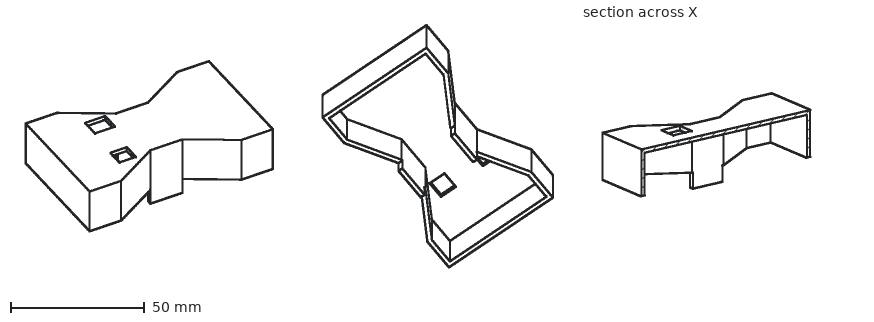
import cadquery as cq

length_x = 48.6
length_y = 78.6
total_height = 25.0

wall = 1.8
body_height = 18.6
leg_drop = total_height - body_height

neck_width = 26.3
neck_length = 13.8
end_length = 13.5

windows = [
    (-9.9, -15.5, 7.5, 8.6),
    (10.6, -17.2, 6.9, 7.0),
]


def hourglass_points():
    """Corners of the outer outline, centred on the origin."""
    half_x = length_x / 2
    half_y = length_y / 2
    half_neck = neck_width / 2
    neck_end = neck_length / 2
    flare_end = half_y - end_length
    right_side = [
        (half_x, -half_y),
        (half_x, -flare_end),
        (half_neck, -neck_end),
        (half_neck, neck_end),
        (half_x, flare_end),
        (half_x, half_y),
    ]
    left_side = [(-x, y) for x, y in reversed(right_side)]
    return right_side + left_side


def make_shell():
    """Hourglass box with an even wall and roof and an open bottom."""
    outer = cq.Workplane("XY").polyline(hourglass_points()).close().extrude(body_height)
    cavity = (
        cq.Workplane("XY")
        .polyline(hourglass_points())
        .close()
        .offset2D(-wall, "intersection")
        .extrude(body_height - wall)
    )
    return outer.cut(cavity)


def make_leg(side):
    """Neck wall continued below the body, side is -1 for left and 1 for right."""
    centre_x = side * (neck_width - wall) / 2
    return (
        cq.Workplane("XY", origin=(centre_x, 0, -leg_drop))
        .rect(wall, neck_length)
        .extrude(total_height - wall)
    )


def make_window(centre_x, centre_y, size_x, size_y):
    """Cutter for one rectangular opening through the roof."""
    return (
        cq.Workplane("XY", origin=(centre_x, centre_y, body_height - wall))
        .rect(size_x, size_y)
        .extrude(wall)
    )


result = make_shell()
for leg_side in (-1, 1):
    result = result.union(make_leg(leg_side))
for window in windows:
    result = result.cut(make_window(*window))